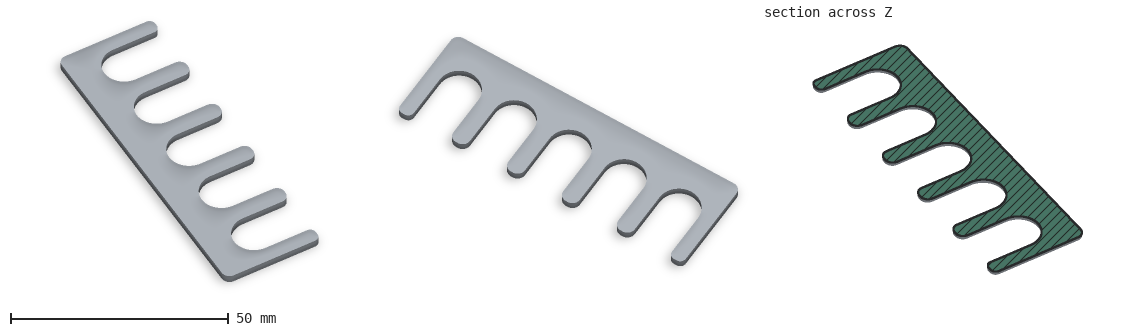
import cadquery as cq

length = 78.0
depth = 25.0
thickness = 2.0
slot_count = 5
slot_pitch = 15.0
slot_width = 10.5
spine_width = 7.25
base_corner_radius = 2.0
inner_tip_radius = 2.0
end_tip_radius = 1.5
selection_margin = 0.1

half_length = length / 2
slot_radius = slot_width / 2
slot_center_y = spine_width + slot_radius
first_slot_x = -slot_pitch * (slot_count - 1) / 2
slot_centers = [first_slot_x + i * slot_pitch for i in range(slot_count)]
end_tooth_inner_x = slot_centers[-1] + slot_radius
inner_teeth_limit_x = slot_centers[-1] - slot_radius


def make_blank():
    """Plate centred in X, spine edge on Y = 0, with rounded spine corners."""
    plate = cq.Workplane("XY").box(length, depth, thickness, centered=(True, False, False))
    return plate.edges("|Z and <Y").fillet(base_corner_radius)


def make_slot(center_x):
    """Round-bottomed slot, open at the tip side of the plate."""
    left_x = center_x - slot_radius
    right_x = center_x + slot_radius
    return (
        cq.Workplane("XY")
        .moveTo(left_x, depth)
        .lineTo(left_x, slot_center_y)
        .threePointArc((center_x, spine_width), (right_x, slot_center_y))
        .lineTo(right_x, depth)
        .close()
        .extrude(thickness)
    )


def round_tips(plate, x_min, x_max, radius):
    """Round the upright edges at the tooth tips between two X positions."""
    tip_zone = cq.selectors.BoxSelector(
        (x_min - selection_margin, depth - selection_margin, -selection_margin),
        (x_max + selection_margin, depth + selection_margin, thickness + selection_margin),
    )
    return plate.edges("|Z").edges(tip_zone).fillet(radius)


comb = make_blank()
for slot_x in slot_centers:
    comb = comb.cut(make_slot(slot_x))

comb = round_tips(comb, -inner_teeth_limit_x, inner_teeth_limit_x, inner_tip_radius)
comb = round_tips(comb, -half_length, -end_tooth_inner_x, end_tip_radius)
comb = round_tips(comb, end_tooth_inner_x, half_length, end_tip_radius)

result = comb